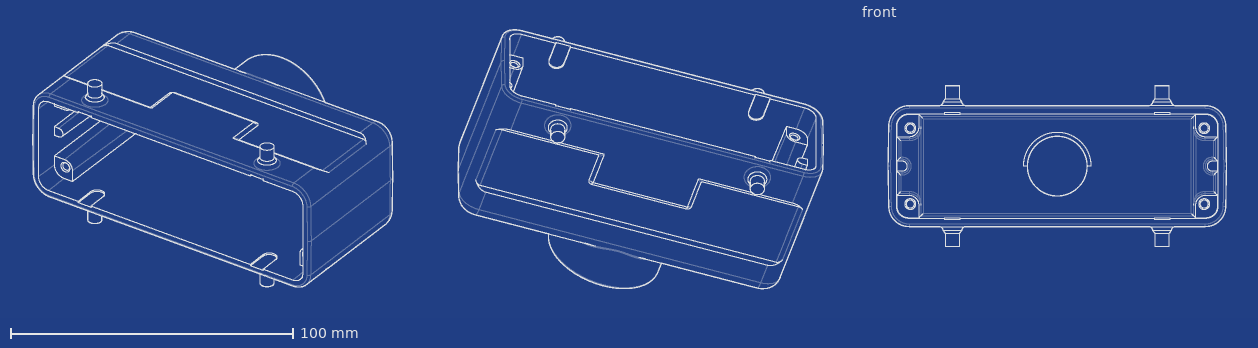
import cadquery as cq
import math


length = 120.0
half_length = length / 2
half_height = 21.5
depth = 55.1
end_crown = 0.4
corner_radius = 7.3
back_edge_radius = 5.0
mouth_edge_radius = 1.0

wall = 3.0
mouth_half_length = half_length - wall
mouth_half_height = half_height - wall
mouth_corner_radius = corner_radius - wall
cavity_depth = depth - wall
pocket_half_length = 49.2
pocket_draft = 1.0
pocket_floor_radius = 0.8
shelf_height = 3.6
shelf_edge_radius = 0.8
shelf_y = cavity_depth - shelf_height

post_face_y = 9.6
post_inner_z = 10.5
post_corner_radius = 3.2
shelf_root_radius = 0.7
screw_x = 52.1
screw_z = 13.5
screw_radius = 1.5
screw_mouth_radius = 1.9
screw_depth = 18.0
countersink_taper = 45
rib_radius = 1.8
rib_tip_x = 53.2

collar_radius = 20.6
collar_end_y = 69.5
collar_edge_radius = 1.0
collar_root_radius = 0.8
bore_radius = 10.5
relief_radius = 12.0
relief_depth = 0.6

pin_spacing = 74.3
pin_x = pin_spacing / 2
pin_y = 6.4
pin_tip_span = 57.0
pin_end_z = pin_tip_span / 2
pin_radius = 2.5
pin_cone_radius = 3.4
pin_cone_height = 1.3
pin_neck_height = 2.4
pin_foot_radius = 4.7
pin_flare_share = 0.3
pin_slot_radius = 2.8
pin_slot_y = 7.7
pin_slot_depth = 0.5

recess_depth = 1.0
recess_slope = 1.5
recess_front_y = 13.3
recess_back_y = 42.0
tongue_half_width = 17.5
tongue_back_y = 26.4
recess_corner_radius = 1.0
recess_end_radius = 3.1

overrun = 6.0


def xz_plane(y):
    """Sketch plane at the given Y, local axes X and Z; negative extrusions run towards +Y."""
    return cq.Workplane(cq.Plane(origin=(0, y, 0), xDir=(1, 0, 0), normal=(0, -1, 0)))


def four_way(quarter):
    """Repeat a body at +X, +Z in all four quarters of the part."""
    half = quarter.union(quarter.mirror("YZ"))
    return half.union(half.mirror("XY"))


def make_shell():
    corner_x = half_length - end_crown
    outline = [
        (half_length, 0), (corner_x, half_height), (-corner_x, half_height),
        (-half_length, 0), (-corner_x, -half_height), (corner_x, -half_height),
    ]
    shell = xz_plane(0).polyline(outline).close().extrude(-depth)
    long_corners = [
        edge for edge in shell.edges("|Y").vals() if abs(edge.Center().z) > half_height / 2
    ]
    shell = shell.newObject(long_corners).fillet(corner_radius)
    shell = shell.faces(">Y").edges().fillet(back_edge_radius)
    return shell.faces("<Y").edges().fillet(mouth_edge_radius)


def make_recess():
    """Label recess sunk into the top face, with sloping walls and open ends."""
    reach = half_length + overrun
    outline = [
        (-reach, recess_back_y), (reach, recess_back_y), (reach, recess_front_y),
        (tongue_half_width, recess_front_y), (tongue_half_width, tongue_back_y),
        (-tongue_half_width, tongue_back_y), (-tongue_half_width, recess_front_y),
        (-reach, recess_front_y),
    ]
    slope_angle = math.degrees(math.atan2(recess_slope, recess_depth))
    recess = (
        cq.Workplane("XY").workplane(offset=half_height)
        .polyline(outline).close()
        .extrude(-recess_depth, taper=slope_angle)
    )
    tongue_corners = [
        edge for edge in recess.edges("not #Z").vals()
        if abs(edge.Center().x) < 2 * tongue_half_width and edge.BoundingBox().zlen > recess_depth / 2
    ]
    return recess.newObject(tongue_corners).fillet(recess_corner_radius)


def make_pocket():
    pocket = (
        xz_plane(0).rect(2 * pocket_half_length, 2 * mouth_half_height)
        .extrude(-cavity_depth, taper=pocket_draft)
    )
    return pocket.faces(">Y").edges().fillet(pocket_floor_radius)


def make_post():
    """Corner screw post, drafted so that its inner side is flush with the pocket wall."""
    post_length = half_length + overrun - pocket_half_length
    post_width = half_height + overrun - post_inner_z
    post = (
        xz_plane(0)
        .center(pocket_half_length + post_length / 2, post_inner_z + post_width / 2)
        .sketch().rect(post_length, post_width)
        .vertices().fillet(post_corner_radius).finalize()
        .extrude(-depth, taper=-pocket_draft)
    )
    in_front_of_post = xz_plane(0).rect(2 * length, 2 * length).extrude(-post_face_y)
    return post.cut(in_front_of_post)


def make_rib():
    """Half-round guide rib on the middle of an end wall."""
    rib_length = 4 * rib_radius
    return (
        xz_plane(post_face_y).center(rib_tip_x + rib_length / 2, 0)
        .slot2D(rib_length, 2 * rib_radius)
        .extrude(-depth, taper=-pocket_draft)
    )


def make_cavity():
    """Mouth cavity with an end bay at each side and a deeper main pocket between the bays."""
    bays = (
        xz_plane(0)
        .sketch().rect(2 * mouth_half_length, 2 * mouth_half_height)
        .vertices().fillet(mouth_corner_radius).finalize()
        .extrude(-shelf_y, taper=pocket_draft)
    )
    cavity = bays.union(make_pocket())
    shelf_edges = [
        edge for edge in cavity.edges("|Z").vals()
        if math.isclose(edge.Center().y, shelf_y) and abs(edge.Center().x) < pocket_half_length
    ]
    cavity = cavity.newObject(shelf_edges).fillet(shelf_edge_radius)
    rib = make_rib()
    cavity = cavity.cut(four_way(make_post())).cut(rib).cut(rib.mirror("YZ"))
    shelves = [
        face for face in cavity.faces("|Y").vals() if math.isclose(face.Center().y, shelf_y)
    ]
    shelf_roots = [
        edge for shelf in shelves for edge in shelf.Edges()
        if abs(edge.Center().x) > pocket_half_length
    ]
    return cavity.newObject(shelf_roots).fillet(shelf_root_radius)


def make_screw_hole():
    """Blind screw hole with a countersunk mouth, for the post at +X, +Z."""
    hole = xz_plane(post_face_y).center(screw_x, screw_z).circle(screw_radius).extrude(-screw_depth)
    sink_depth = screw_mouth_radius - screw_radius
    mouth = (
        xz_plane(post_face_y).center(screw_x, screw_z)
        .circle(screw_mouth_radius).extrude(-sink_depth, taper=countersink_taper)
    )
    return hole.union(mouth)


def make_bore():
    """Cable bore through the collar, with a half-round relief in the pocket floor."""
    bore = xz_plane(0).circle(bore_radius).extrude(-collar_end_y)
    relief = (
        xz_plane(cavity_depth)
        .moveTo(relief_radius, 0).threePointArc((0, relief_radius), (-relief_radius, 0)).close()
        .extrude(-relief_depth)
    )
    return bore.union(relief)


def make_collar():
    collar = xz_plane(shelf_y).circle(collar_radius).extrude(shelf_y - collar_end_y)
    return collar.faces(">Y").edges().fillet(collar_edge_radius)


def make_pin():
    """Locking pin on the top face at +X: a stem on a cone that flares into the face."""
    pin_length = pin_end_z - half_height
    flare_middle = (
        pin_cone_radius + pin_flare_share * (pin_foot_radius - pin_cone_radius),
        pin_flare_share * pin_cone_height,
    )
    return (
        cq.Workplane("XZ")
        .moveTo(0, -wall / 2)
        .lineTo(pin_foot_radius, -wall / 2)
        .lineTo(pin_foot_radius, 0)
        .threePointArc(flare_middle, (pin_cone_radius, pin_cone_height))
        .lineTo(pin_radius, pin_neck_height)
        .lineTo(pin_radius, pin_length)
        .lineTo(0, pin_length)
        .close()
        .revolve(360, (0, 0, 0), (0, 1, 0))
        .translate((pin_x, pin_y, half_height))
    )


def make_pin_slot():
    """Shallow round-ended slot in the cavity wall behind a pin, open to the mouth."""
    return (
        cq.Workplane("XY").workplane(offset=mouth_half_height - wall / 2)
        .moveTo(pin_x - pin_slot_radius, 0)
        .lineTo(pin_x - pin_slot_radius, pin_slot_y)
        .threePointArc((pin_x, pin_slot_y + pin_slot_radius), (pin_x + pin_slot_radius, pin_slot_y))
        .lineTo(pin_x + pin_slot_radius, 0)
        .close()
        .extrude(wall / 2 + pin_slot_depth)
    )


def make_body():
    """Shell joined to the collar, with a fillet around the collar root."""
    body = make_shell().union(make_collar())
    tolerance = 0.01

    def on_collar(point):
        return math.isclose(math.hypot(point.x, point.z), collar_radius, abs_tol=tolerance)

    root = [
        edge for edge in body.edges().vals()
        if depth - back_edge_radius < edge.Center().y < depth + tolerance
        and on_collar(edge.startPoint()) and on_collar(edge.endPoint())
    ]
    return body.newObject(root).fillet(collar_root_radius)


def sink_recesses(body):
    """Cut both label recesses and round over the edges where they run out at the ends."""
    recess = make_recess()
    body = body.cut(recess).cut(recess.mirror("XY"))
    floor_z = half_height - recess_depth
    end_edges = [
        edge for edge in body.edges("|Y").vals()
        if math.isclose(abs(edge.Center().z), floor_z) and abs(edge.Center().x) > 2 * tongue_half_width
    ]
    return body.newObject(end_edges).fillet(recess_end_radius)


result = (
    sink_recesses(make_body())
    .cut(make_cavity())
    .union(four_way(make_pin()))
    .cut(four_way(make_pin_slot()))
    .cut(four_way(make_screw_hole()))
    .cut(make_bore())
)